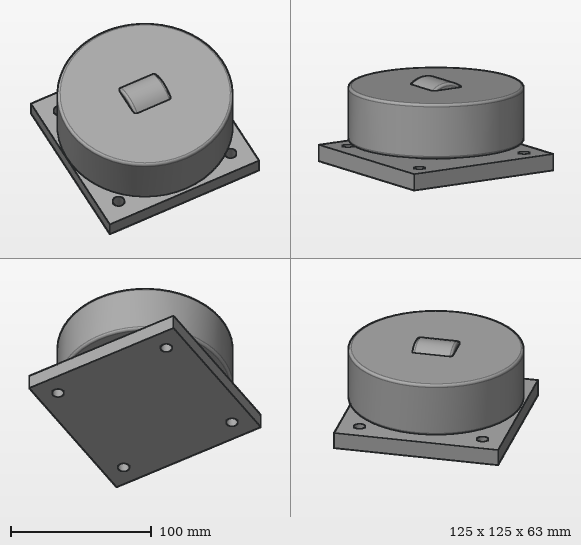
import cadquery as cq

plate_side = 120.0
plate_height = 12.0
hole_diameter = 8.4
hole_spacing = 90.0

neck_diameter = 65.0
neck_height = 6.5
body_diameter = 125.0
body_height = 40.0

crown_radius = 20.0
crown_length = 30.0
crown_rise = 4.5

edge_radius = 2.0

body_bottom = plate_height + neck_height
body_top = body_bottom + body_height


def make_plate():
    plate = cq.Workplane("XY").box(plate_side, plate_side, plate_height, centered=(True, True, False))
    return (
        plate.faces(">Z")
        .workplane()
        .rect(hole_spacing, hole_spacing, forConstruction=True)
        .vertices()
        .hole(hole_diameter)
    )


def make_neck():
    return cq.Workplane("XY").workplane(offset=plate_height).circle(neck_diameter / 2).extrude(neck_height)


def make_body():
    body = cq.Workplane("XY").workplane(offset=body_bottom).circle(body_diameter / 2).extrude(body_height)
    return body.edges().fillet(edge_radius)


def make_crown():
    """Cylinder along Y with rounded ends, sunk so only its top shows above the body."""
    axis_height = body_top + crown_rise - crown_radius
    cylinder = (
        cq.Workplane("XZ", origin=(0, 0, axis_height))
        .circle(crown_radius)
        .extrude(crown_length / 2, both=True)
    )
    return cylinder.faces("<Y or >Y").edges().fillet(edge_radius)


result = make_plate().union(make_neck()).union(make_body()).union(make_crown())